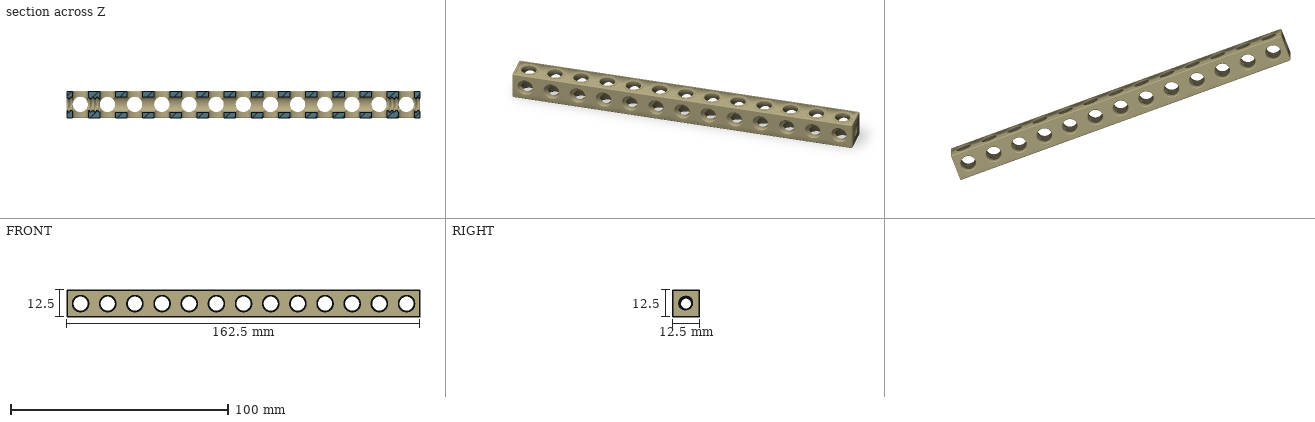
import cadquery as cq
import math

PITCH = 12.5
HOLE_COUNT = 13
EDGE_CHAMFER = 0.3

HOLE_DIAMETER = 7.0
HOLE_CHAMFER = 0.3

RIM_WIDTH = 1.1
COLLAR_DIAMETER = 9.2
RECESS_DEPTH = 0.2

MIDDLE_BORE_DIAMETER = 7.0
THREAD_MINOR_DIAMETER = 5.2
THREAD_MAJOR_DIAMETER = 6.8
THREAD_PITCH = 2.0
THREAD_LENGTH = 1.5 * PITCH
THREAD_START_ANGLE = math.radians(20)

length = HOLE_COUNT * PITCH
half_length = length / 2
half_width = PITCH / 2
hole_centers = [((i - (HOLE_COUNT - 1) / 2) * PITCH, 0) for i in range(HOLE_COUNT)]


def square_bar():
    """Square bar centred on the origin, long axis along X, all edges chamfered."""
    return cq.Workplane("XY").box(length, PITCH, PITCH).edges().chamfer(EDGE_CHAMFER)


def top_recess():
    """Shallow rectangular pocket that leaves a flush collar around every hole."""
    floor = cq.Workplane("XY").workplane(offset=half_width - RECESS_DEPTH)
    pocket = floor.rect(length - 2 * RIM_WIDTH, PITCH - 2 * RIM_WIDTH).extrude(RECESS_DEPTH)
    collars = floor.pushPoints(hole_centers).circle(COLLAR_DIAMETER / 2).extrude(RECESS_DEPTH)
    return pocket.cut(collars)


def hole_row():
    """Row of through holes along Z, one per pitch, chamfered at both mouths."""
    radius = HOLE_DIAMETER / 2
    mouth_radius = radius + HOLE_CHAMFER
    straight = half_width - HOLE_CHAMFER
    half_profile = [
        (0, -half_width),
        (mouth_radius, -half_width),
        (radius, -straight),
        (radius, straight),
        (mouth_radius, half_width),
        (0, half_width),
    ]
    hole = cq.Workplane("XZ").polyline(half_profile).close().revolve(360, (0, 0, 0), (0, 1, 0))
    return cq.Workplane("XY").pushPoints(hole_centers).eachpoint(lambda place: hole.val().moved(place))


def threaded_bore():
    """Bore with a rounded thread: an off-centre circle twisted one turn per thread pitch."""
    outer_reach = THREAD_MAJOR_DIAMETER / 2
    inner_reach = THREAD_MINOR_DIAMETER / 2
    radius = (outer_reach + inner_reach) / 2
    offset = (outer_reach - inner_reach) / 2
    center = (offset * math.cos(THREAD_START_ANGLE), offset * math.sin(THREAD_START_ANGLE))
    twist = 360 * THREAD_LENGTH / THREAD_PITCH
    end_face = cq.Workplane("YZ", origin=(-half_length, 0, 0))
    return end_face.moveTo(*center).circle(radius).twistExtrude(THREAD_LENGTH, twist)


def middle_bore():
    """Plain bore joining the two threaded ends."""
    half_span = half_length - THREAD_LENGTH
    return cq.Workplane("YZ").circle(MIDDLE_BORE_DIAMETER / 2).extrude(half_span, both=True)


holes_along_z = hole_row()
holes_along_y = holes_along_z.rotate((0, 0, 0), (1, 0, 0), 90)

plain_bar = (
    square_bar()
    .cut(top_recess())
    .cut(holes_along_z)
    .cut(holes_along_y)
    .cut(middle_bore())
)

left_thread = threaded_bore()
right_thread = left_thread.rotate((0, 0, 0), (0, 0, 1), 180)
result = plain_bar.cut(left_thread, clean=False).cut(right_thread, clean=False)